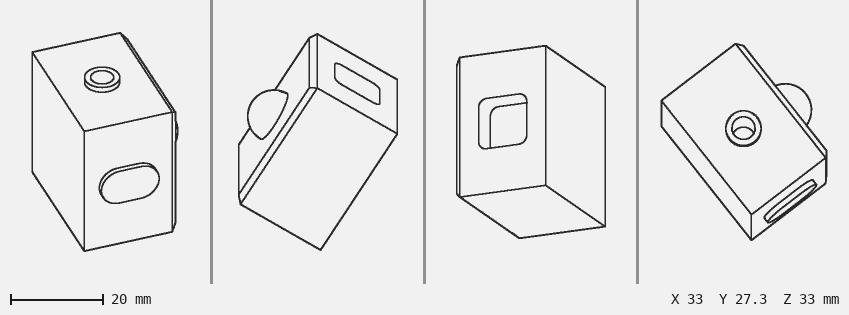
import cadquery as cq
import math

block_size = 31.75
block_depth = 21.6
chamfer = 1.25
feature_y = 10.17

boss_height = 1.25
top_boss_diameter = 7.63
slot_boss_width = 8.4
slot_boss_length = 13.37
dome_radius = 5.7

hole_diameter = 5.0
hole_depth = 12.7
drill_point_angle = 118

pocket_size = 11.42
pocket_corner_radius = 1.9
pocket_depth = 6.35

half_block = block_size / 2


def make_block():
    block = cq.Workplane("XY").box(block_size, block_depth, block_size, centered=(True, False, True))
    return block.faces(">Y").chamfer(chamfer)


def make_top_boss():
    plane = cq.Workplane("XY", origin=(0, feature_y, half_block))
    return plane.circle(top_boss_diameter / 2).extrude(boss_height)


def make_slot_boss():
    """Rounded-end pad on the right face, long in Y."""
    plane = cq.Workplane("YZ", origin=(half_block, feature_y, 0))
    return plane.slot2D(slot_boss_length, slot_boss_width).extrude(boss_height)


def make_dome():
    """Ball centred on the back face; half of it stands out."""
    return cq.Workplane("XY", origin=(0, block_depth, 0)).sphere(dome_radius)


def make_drilled_hole():
    radius = hole_diameter / 2
    point_height = radius / math.tan(math.radians(drill_point_angle / 2))
    profile = (
        cq.Workplane("XZ", origin=(0, feature_y, half_block + boss_height))
        .lineTo(radius, 0)
        .lineTo(radius, -hole_depth)
        .lineTo(0, -hole_depth - point_height)
        .close()
    )
    return profile.revolve(360, (0, 0, 0), (0, 1, 0))


def make_pocket():
    plane = cq.Workplane("YZ", origin=(-half_block, feature_y, 0))
    return plane.rect(pocket_size, pocket_size).extrude(pocket_depth).edges("|X").fillet(pocket_corner_radius)


result = (
    make_block()
    .union(make_top_boss())
    .union(make_slot_boss())
    .union(make_dome())
    .cut(make_drilled_hole())
    .cut(make_pocket())
)